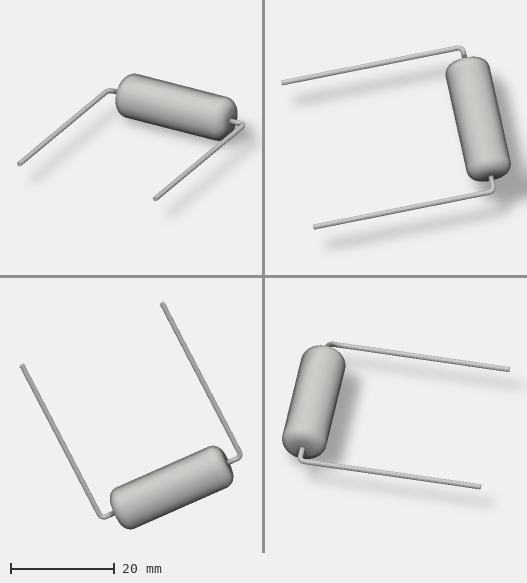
import cadquery as cq

overall_width = 30.9
overall_depth = 39.85

body_length = 23.82
body_diameter = 8.7
body_edge_radius = 2.15

wire_diameter = 1.0
bend_radius = 1.0

body_radius = body_diameter / 2
body_half_length = body_length / 2
wire_radius = wire_diameter / 2
lead_x = overall_width / 2 - wire_radius
lead_tip_y = body_radius - overall_depth


def make_body():
    """Solid cylinder with rounded rims on both flat ends."""
    return (
        cq.Workplane("YZ", origin=(-body_half_length, 0, 0))
        .circle(body_radius)
        .extrude(body_length)
        .edges("%CIRCLE")
        .fillet(body_edge_radius)
    )


def make_lead(side):
    """Round wire from an end face of the body (side is -1 or +1), bent toward -Y."""
    straight = (
        cq.Workplane("YZ", origin=(side * body_half_length, 0, 0))
        .circle(wire_radius)
        .extrude(side * (lead_x - bend_radius - body_half_length))
    )
    bend = (
        cq.Workplane("YZ", origin=(side * (lead_x - bend_radius), 0, 0))
        .circle(wire_radius)
        .revolve(90, (-bend_radius, 0), (-bend_radius, -side))
    )
    leg = (
        cq.Workplane("XZ", origin=(side * lead_x, -bend_radius, 0))
        .circle(wire_radius)
        .extrude(-bend_radius - lead_tip_y)
    )
    return straight.union(bend).union(leg)


body = make_body()
leads = [make_lead(side) for side in (-1, 1)]

result = cq.Compound.makeCompound([body.val(), *[lead.val() for lead in leads]])